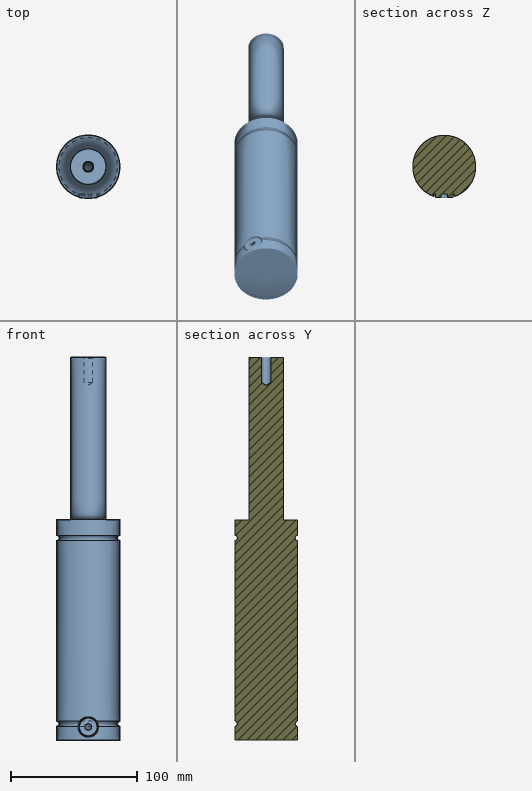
import cadquery as cq
import math

total_height = 302.0
body_diameter = 50.0
body_height = 174.0
rod_diameter = 28.0
rod_top_fillet = 1.0

groove_radius = 2.0
lower_groove_height = 13.0
upper_groove_height = 159.5

thread_hole_diameter = 6.8
thread_hole_mouth_diameter = 8.5
thread_hole_depth = 20.0
drill_point_angle = 118.0

port_height = 10.5
port_diameter = 16.0
port_depth = 3.5
plug_diameter = 14.0
plug_face_depth = 0.5
plug_edge_fillet = 0.5
socket_width = 5.0
socket_depth = 3.0

body_radius = body_diameter / 2


def make_body():
    return cq.Workplane("XY").circle(body_radius).extrude(body_height)


def make_rod():
    rod_length = total_height - body_height
    rod = cq.Workplane("XY").workplane(offset=body_height).circle(rod_diameter / 2).extrude(rod_length)
    return rod.faces(">Z").edges().fillet(rod_top_fillet)


def make_groove_ring(height):
    return cq.Workplane("XY").add(
        cq.Solid.makeTorus(body_radius, groove_radius, cq.Vector(0, 0, height), cq.Vector(0, 0, 1))
    )


def make_thread_hole():
    """Blind hole with a 45 degree countersunk mouth and a drill point."""
    hole_radius = thread_hole_diameter / 2
    mouth_radius = thread_hole_mouth_diameter / 2
    mouth_depth = mouth_radius - hole_radius
    point_depth = hole_radius / math.tan(math.radians(drill_point_angle / 2))
    hole_bottom = total_height - thread_hole_depth
    return (
        cq.Workplane("XZ")
        .moveTo(0, total_height)
        .lineTo(mouth_radius, total_height)
        .lineTo(hole_radius, total_height - mouth_depth)
        .lineTo(hole_radius, hole_bottom)
        .lineTo(0, hole_bottom - point_depth)
        .close()
        .revolve(360, (0, 0), (0, 1))
    )


def port_plane(depth):
    """Plane facing -Y at the given depth below the side of the body, centred on the port."""
    return cq.Workplane("XZ", origin=(0, depth - body_radius, port_height))


def make_port_bore():
    return port_plane(port_depth).circle(port_diameter / 2).extrude(port_depth)


def make_plug():
    plug_length = port_depth - plug_face_depth
    plug = port_plane(port_depth).circle(plug_diameter / 2).extrude(plug_length)
    return plug.faces("<Y").edges().fillet(plug_edge_fillet)


def make_plug_socket():
    """Hexagonal pocket with two of its corners pointing up and down."""
    corner_diameter = socket_width / math.cos(math.pi / 6)
    return (
        port_plane(plug_face_depth)
        .transformed(rotate=(0, 0, 90))
        .polygon(6, corner_diameter)
        .extrude(-socket_depth)
    )


result = make_body().union(make_rod())
for groove_height in (lower_groove_height, upper_groove_height):
    result = result.cut(make_groove_ring(groove_height))
result = result.cut(make_thread_hole())
result = result.cut(make_port_bore())
result = result.union(make_plug())
result = result.cut(make_plug_socket())